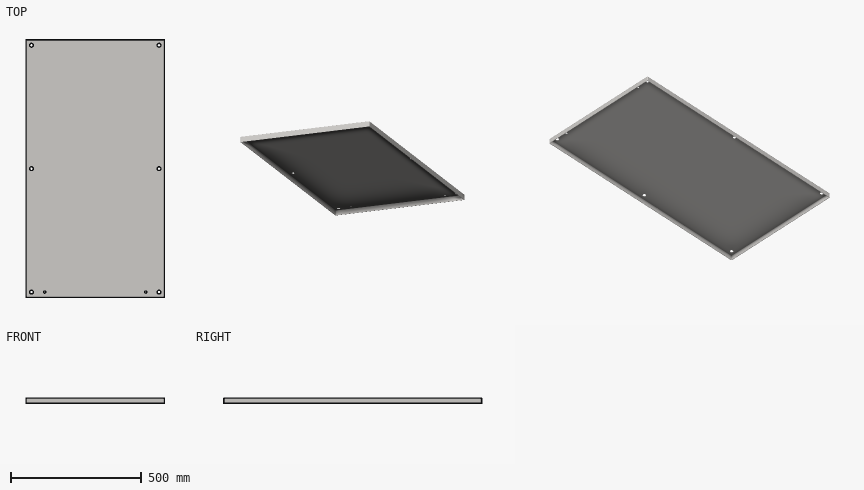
import cadquery as cq

width = 533.0
length = 991.0
height = 22.0
sheet = 2.0
bend_radius = 3.0

mount_diameter = 14.0
hole_inset = 22.0
mount_x = width / 2 - hole_inset
mount_y = length / 2 - hole_inset

small_diameter = 8.0
small_spacing = 388.0


def rounded_block(inset, radius):
    """Block set in from the tray sides and top, with rounded corners and top rim."""
    block = cq.Workplane("XY").box(
        width - 2 * inset,
        length - 2 * inset,
        height - inset,
        centered=(True, True, False),
    )
    return block.edges("|Z").fillet(radius).faces(">Z").edges().fillet(radius)


def through_holes(diameter, centres):
    """Vertical cylinders that span the full tray height."""
    return cq.Workplane("XY").pushPoints(centres).circle(diameter / 2).extrude(height)


tray = rounded_block(0, bend_radius).cut(rounded_block(sheet, bend_radius - sheet))

mount_centres = [(x, y) for x in (-mount_x, mount_x) for y in (-mount_y, 0, mount_y)]
small_centres = [(x, -mount_y) for x in (-small_spacing / 2, small_spacing / 2)]

result = (
    tray
    .cut(through_holes(mount_diameter, mount_centres))
    .cut(through_holes(small_diameter, small_centres))
)